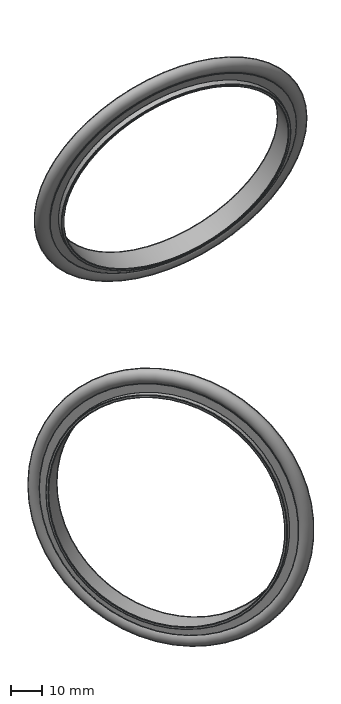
import cadquery as cq

outer_diameter = 97.9
sleeve_width = 8.0

bore_diameter = 81.0
sleeve_diameter = 83.0
rim_diameter = 89.0
flange_width = 3.9
edge_chamfer = 0.2

seal_thickness = 5.0
seal_center_radius = (outer_diameter - seal_thickness) / 2


def make_seal():
    """Round-section ring centred on the X axis."""
    section = cq.Workplane("XY").center(0, seal_center_radius).circle(seal_thickness / 2)
    return section.revolve(360, (0, -seal_center_radius, 0), (1, -seal_center_radius, 0))


def make_cylinder(width, diameter):
    """Cylinder around the X axis, centred on the YZ plane."""
    return cq.Workplane("YZ").circle(diameter / 2).extrude(width / 2, both=True)


def make_carrier(seal):
    """Sleeve chamfered at both ends, with a central flange whose rim is hollowed to seat the seal."""
    sleeve = make_cylinder(sleeve_width, sleeve_diameter)
    flange = make_cylinder(flange_width, rim_diameter)
    bore = make_cylinder(sleeve_width, bore_diameter)
    ring = sleeve.union(flange).cut(bore)
    ring = ring.faces("<X or >X").edges().chamfer(edge_chamfer)
    return ring.cut(seal)


seal = make_seal()
carrier = make_carrier(seal)

result = cq.Compound.makeCompound([carrier.val(), seal.val()])